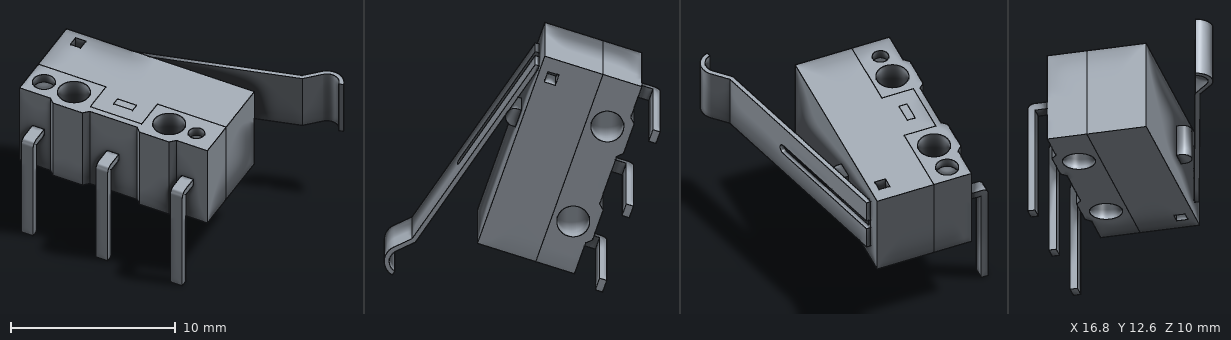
import cadquery as cq
import math


length = 12.82
height = 5.77
mid_x = length / 2
mid_z = height / 2
seam_y = -3.73
base_front_y = -6.21

bump_depth = 0.34
bump_foot_width = 2.68
bump_top_width = bump_foot_width - 2 * bump_depth
bump_spacing = 5.9

hole_row_y = -5.05
mount_hole_diameter = 2.0
mount_hole_x = (3.12, 9.61)
large_recess_diameter = 1.4
large_recess_x = 1.07
small_recess_diameter = 1.0
small_recess_x = 11.48
recess_depth = 0.6

tongue_center_x = 6.38
tongue_width = 3.5
tongue_end_y = -5.8
tongue_thickness = 0.6
tab_width = 1.31
tab_depth = 0.52
tab_center_y = -4.66

window_size = 0.7
window_left_x = 0.89
window_top_y = -0.5
window_bottom_y = window_top_y - window_size

lever_thickness = 0.3
lever_width = 3.75
lever_foot_x = 1.07
lever_heel_y = 0.25
arm_angle = math.radians(14.9)
shank_angle = math.radians(45)
lever_tip_x = 16.78
hook_radius = 1.04
hook_end_angle = math.radians(13)
hook_center_x = lever_tip_x - hook_radius * math.cos(hook_end_angle)
hook_top_y = 4.92
hook_center_y = hook_top_y - hook_radius
lever_slot_width = 0.65
lever_slot_length = 8.55

button_center_x = 5.02
button_width = 1.14
button_radius = button_width / 2
button_rise = 0.8
button_length = 2.01

terminal_count = 3
terminal_pitch = 5.08
first_terminal_x = 1.3
terminal_width = 0.8
terminal_thickness = 0.47
terminal_front_y = -7.69
terminal_tip_z = -4.26
terminal_bend_radius = 0.4


def box(x_min, x_max, y_min, y_max, z_min, z_max):
    """Block between the given limits."""
    size = (x_max - x_min, y_max - y_min, z_max - z_min)
    return cq.Workplane("XY").box(*size, centered=False).translate((x_min, y_min, z_min))


def tongue_block():
    """Space taken by the cover tongue before its window is cut."""
    return box(
        tongue_center_x - tongue_width / 2, tongue_center_x + tongue_width / 2,
        tongue_end_y, seam_y, height - tongue_thickness, height,
    )


def tab_block():
    """Locking tab, flush with the top of the tongue."""
    return box(
        mid_x - tab_width / 2, mid_x + tab_width / 2,
        tab_center_y - tab_depth / 2, tab_center_y + tab_depth / 2,
        height - tongue_thickness, height,
    )


def bump(center_x):
    """Tapered rib over the full height of the base front."""
    foot = bump_foot_width / 2
    top = bump_top_width / 2
    return (
        cq.Workplane("XY")
        .moveTo(center_x - foot, base_front_y)
        .lineTo(center_x - top, base_front_y - bump_depth)
        .lineTo(center_x + top, base_front_y - bump_depth)
        .lineTo(center_x + foot, base_front_y)
        .close()
        .extrude(height)
    )


def hole(center_x, diameter, depth):
    """Cylinder sunk from the top face on the hole row."""
    return (
        cq.Workplane("XY", origin=(center_x, hole_row_y, height - depth))
        .circle(diameter / 2)
        .extrude(depth)
    )


def make_base():
    body = box(0, length, base_front_y, seam_y, 0, height)
    for side in (-1, 1):
        body = body.union(bump(mid_x + side * bump_spacing / 2))
    body = body.cut(tongue_block()).union(tab_block())
    for center_x in mount_hole_x:
        body = body.cut(hole(center_x, mount_hole_diameter, height))
    body = body.cut(hole(large_recess_x, large_recess_diameter, recess_depth))
    return body.cut(hole(small_recess_x, small_recess_diameter, recess_depth))


def make_cover():
    body = box(0, length, seam_y, 0, 0, height)
    body = body.union(tongue_block()).cut(tab_block())
    window = box(
        window_left_x, window_left_x + window_size, window_bottom_y, window_top_y, 0, height
    )
    foot_slit = box(
        lever_foot_x, lever_foot_x + lever_thickness, window_bottom_y, 0,
        mid_z - lever_width / 2, mid_z + lever_width / 2,
    )
    return body.cut(window).cut(foot_slit)


def lever_edge(inset):
    """Points along one side of the lever strip, inset from its outer side.

    Returns the foot end, heel, elbow, hook start, hook middle and hook end.
    """
    arm_slope = math.tan(arm_angle)
    shank_slope = math.tan(shank_angle)
    radius = hook_radius - inset

    def hook_point(angle):
        return (hook_center_x + radius * math.cos(angle), hook_center_y + radius * math.sin(angle))

    hook_start_angle = math.pi / 2 + shank_angle
    hook_start = hook_point(hook_start_angle)
    arm_intercept = lever_heel_y - arm_slope * lever_foot_x - inset / math.cos(arm_angle)
    shank_intercept = hook_start[1] - shank_slope * hook_start[0]
    elbow_x = (arm_intercept - shank_intercept) / (shank_slope - arm_slope)
    foot_x = lever_foot_x + inset
    return [
        (foot_x, window_bottom_y),
        (foot_x, arm_intercept + arm_slope * foot_x),
        (elbow_x, arm_intercept + arm_slope * elbow_x),
        hook_start,
        hook_point((hook_start_angle + hook_end_angle) / 2),
        hook_point(hook_end_angle),
    ]


def make_lever():
    foot, heel, elbow, hook_start, hook_middle, hook_end = lever_edge(0)
    in_foot, in_heel, in_elbow, in_start, in_middle, in_end = lever_edge(lever_thickness)
    strip = (
        cq.Workplane("XY", origin=(0, 0, mid_z))
        .polyline([foot, heel, elbow, hook_start])
        .threePointArc(hook_middle, hook_end)
        .lineTo(*in_end)
        .threePointArc(in_middle, in_start)
        .lineTo(*in_elbow)
        .lineTo(*in_heel)
        .lineTo(*in_foot)
        .close()
        .extrude(lever_width / 2, both=True)
    )

    along_arm = (math.cos(arm_angle), math.sin(arm_angle), 0)
    across_arm = (-math.sin(arm_angle), math.cos(arm_angle), 0)
    slot_radius = lever_slot_width / 2
    slot_plane = cq.Plane(origin=(*heel, mid_z), xDir=along_arm, normal=across_arm)
    slot_side = lever_slot_length - slot_radius
    slot = (
        cq.Workplane(slot_plane)
        .moveTo(-slot_side, -slot_radius)
        .lineTo(slot_side, -slot_radius)
        .threePointArc((lever_slot_length, 0), (slot_side, slot_radius))
        .lineTo(-slot_side, slot_radius)
        .close()
        .extrude(lever_slot_length, both=True)
    )
    return strip.cut(slot)


def make_button():
    left_x = button_center_x - button_radius
    right_x = button_center_x + button_radius
    shoulder_y = button_rise - button_radius
    return (
        cq.Workplane("XY", origin=(0, 0, mid_z))
        .moveTo(left_x, 0)
        .lineTo(left_x, shoulder_y)
        .threePointArc((button_center_x, button_rise), (right_x, shoulder_y))
        .lineTo(right_x, 0)
        .close()
        .extrude(button_length / 2, both=True)
    )


def make_terminal(center_x):
    """L-shaped pin leaving the base at mid height and turning down."""
    top_z = mid_z + terminal_thickness / 2
    left_x = center_x - terminal_width / 2
    right_x = center_x + terminal_width / 2
    arm = box(
        left_x, right_x, terminal_front_y, base_front_y, top_z - terminal_thickness, top_z
    )
    leg = box(
        left_x, right_x, terminal_front_y, terminal_front_y + terminal_thickness,
        terminal_tip_z, top_z,
    )
    return arm.union(leg).edges("|X and <Y and >Z").fillet(terminal_bend_radius)


base = make_base()
cover = make_cover()
lever = make_lever()
button = make_button()
terminals = [make_terminal(first_terminal_x + i * terminal_pitch) for i in range(terminal_count)]

result = cq.Compound.makeCompound(
    [base.val(), cover.val(), lever.val(), button.val(), *[pin.val() for pin in terminals]]
)